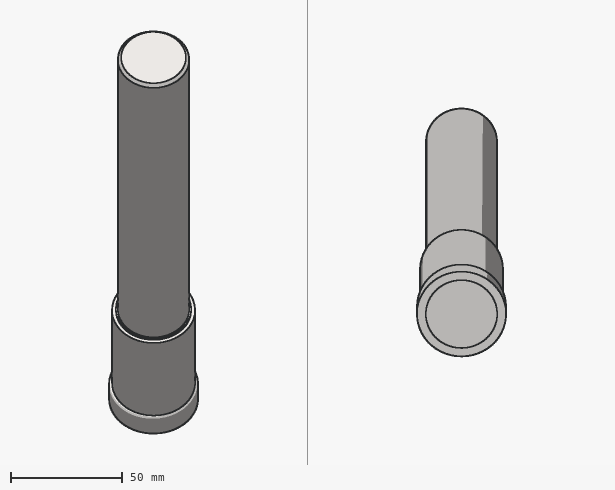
import cadquery as cq

TOTAL_HEIGHT = 250.0
ROD_DIAMETER = 32.0
ROD_TOP_CHAMFER = 1.5
SHANK_TOP = 64.8
SHANK_DIAMETER = 37.2
LIP_HEIGHT = 0.8
LIP_DIAMETER = 33.8
HEAD_DIAMETER = 40.0
HEAD_HEIGHT = 11.5
HEAD_ROUNDING = (HEAD_DIAMETER - SHANK_DIAMETER) / 2

SLEEVE_HEIGHT = SHANK_TOP + LIP_HEIGHT


def cylinder(diameter, height):
    """Upright cylinder standing on the base plane."""
    return cq.Workplane("XY").circle(diameter / 2).extrude(height)


def make_rod():
    """Full-length rod with a chamfered top end."""
    return cylinder(ROD_DIAMETER, TOTAL_HEIGHT).faces(">Z").edges().chamfer(ROD_TOP_CHAMFER)


def make_sleeve():
    """Sleeve with a rounded head below and a thin lip on top, bored through to fit the rod."""
    head = cylinder(HEAD_DIAMETER, HEAD_HEIGHT).faces(">Z").edges().fillet(HEAD_ROUNDING)
    shank = cylinder(SHANK_DIAMETER, SHANK_TOP)
    lip = cylinder(LIP_DIAMETER, SLEEVE_HEIGHT)
    bore = cylinder(ROD_DIAMETER, SLEEVE_HEIGHT)
    return head.union(shank).union(lip).cut(bore)


rod = make_rod()
sleeve = make_sleeve()

result = cq.Compound.makeCompound([rod.val(), sleeve.val()])